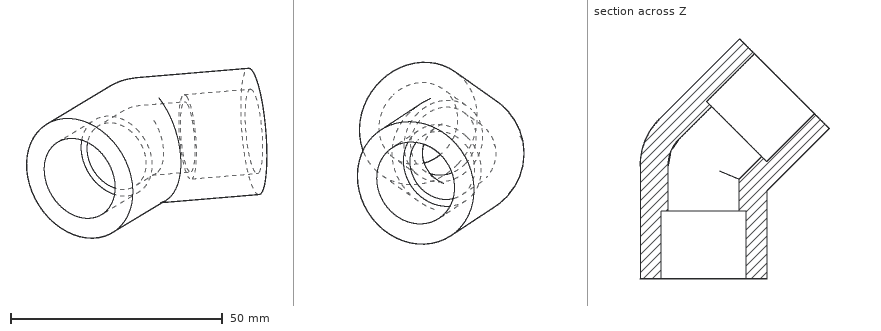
import cadquery as cq
import math

bend_angle = 45.0
overall_length = 56.7
outer_diameter = 30.0
bore_diameter = 16.65
socket_diameter = 20.0
socket_depth = 16.0

outer_radius = outer_diameter / 2
bore_radius = bore_diameter / 2
socket_radius = socket_diameter / 2

bend = math.radians(bend_angle)
rim_reach = outer_radius * math.sin(bend)
leg_length = (overall_length - rim_reach) / (1 + math.cos(bend))

inlet_direction = cq.Vector(0, -1, 0)
outlet_direction = cq.Vector(math.sin(bend), math.cos(bend), 0)
leg_directions = (inlet_direction, outlet_direction)


def leg_cylinder(radius, direction, start, length):
    """Cylinder along a leg, beginning at a distance from the bend centre."""
    return cq.Workplane(cq.Solid.makeCylinder(radius, length, direction * start, direction))


def bent_rod(radius):
    """Two cylinders joined by a ball at the bend centre."""
    rod = cq.Workplane("XY").sphere(radius)
    for direction in leg_directions:
        rod = rod.union(leg_cylinder(radius, direction, 0, leg_length))
    return rod


result = bent_rod(outer_radius).cut(bent_rod(bore_radius))

for leg_direction in leg_directions:
    socket = leg_cylinder(socket_radius, leg_direction, leg_length - socket_depth, socket_depth)
    result = result.cut(socket)